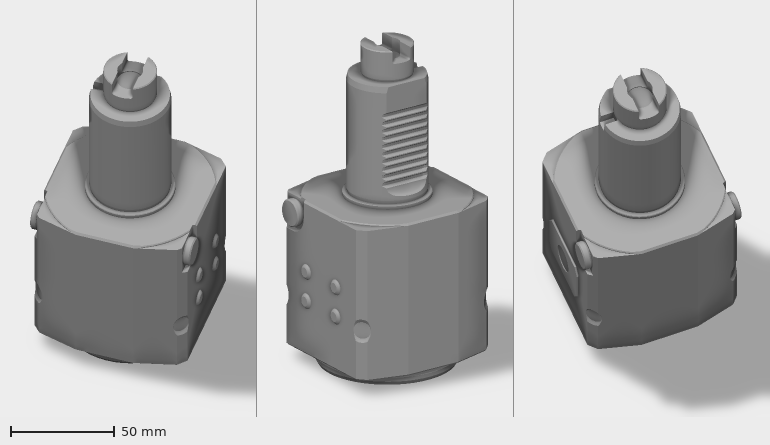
import cadquery as cq
import math

body_half = 78.0 / 2
front_flat_half = 14.7
corner_x, corner_y = 35.1, 33.5
side_flat_half = 29.2
body_bottom, body_top = 7.0, 86.3
edge_break = 1.0
top_disc_radius = 41.9
top_disc_chamfer = 0.5

collar_radius, collar_bottom = 34.0, 6.3
groove_radius, groove_bottom = 31.0, 4.0
cover_radius, cover_chamfer_top, cover_face_radius = 35.0, 2.0, 33.8

ring_radius, ring_top, ring_chamfer = 22.0, 88.3, 0.3
shank_radius, shank_top = 20.0, 149.0
undercut_radius, undercut_top = 19.6, 90.1
lead_radius, lead_bottom = 19.3, 146.0

flat_y = 16.2
tooth_root_y = 14.7
tooth_pitch = 4.0
root_count = 10
first_root_z = 134.0
root_width, gap_width = 1.3, 3.5
runout_radius = 5.0
runout_z = 96.7

notch_width, notch_bottom = 5.3, 144.2

tenon_radius, tenon_bottom, tenon_top, tenon_chamfer = 13.0, 150.2, 165.0, 0.5
tenon_neck_radius = 12.5
slot_width, slot_floor, slot_fillet = 10.5, 158.4, 1.0
slot_bore_diameter, slot_bore_depth = 12.5, 0.5

screw_y, screw_z = -24.1, 77.2
screw_face_x = 81.7 / 2
screw_diameter, screw_chamfer = 14.0, 0.7
screw_neck_diameter, screw_head_x = 13.4, 37.8
pocket_floor_x = 37.0
pocket_floor_radius, pocket_rim_radius = 8.4, 9.4

plug_z, plug_diameter, plug_depth = 33.0, 8.5, 1.2
plug_rim_diameter = 12.0

plate_z, plate_width, plate_height, plate_thickness = 42.5, 36.0, 25.7, 1.0
plate_corner_y, plate_corner_z = 3.0, 4.5
plate_chamfer = 0.3
plate_recess_diameter, plate_recess_depth = 14.0, 0.5
button_radius, button_face_radius, button_height = 4.0, 2.5, 1.3
button_mid_radius = 3.5
button_y, button_dz = 12.4, 7.6

cut_margin = 8.2


def mirrored_outline(quarter):
    """Closed outline from the points of its first quadrant, listed clockwise."""
    right = quarter + [(a, -b) for a, b in reversed(quarter)]
    return right + [(-a, b) for a, b in reversed(right)]


def housing_prism(top):
    """Plain prism of the housing outline, from the housing bottom up to a height."""
    quarter = [(front_flat_half, body_half), (corner_x, corner_y), (body_half, side_flat_half)]
    return (cq.Workplane("XY").workplane(offset=body_bottom)
            .polyline(mirrored_outline(quarter)).close().extrude(top - body_bottom))


def housing():
    """Twelve-sided block with a broken bottom edge and a turned top face."""
    shoulder_z = body_top - edge_break
    base = housing_prism(shoulder_z).faces("<Z").chamfer(edge_break)
    block = housing_prism(body_top).faces(">Z").chamfer(edge_break)
    disc = (cq.Workplane("XY").workplane(offset=shoulder_z).circle(top_disc_radius)
            .extrude(edge_break).faces(">Z").chamfer(top_disc_chamfer))
    return base.union(block.intersect(disc))


def turned_parts():
    """Bottom cover, shank ring, shank and tenon, revolved about Z."""
    profile = [
        (0, 0), (cover_face_radius, 0), (cover_radius, cover_chamfer_top),
        (cover_radius, groove_bottom), (groove_radius, groove_bottom),
        (groove_radius, collar_bottom), (collar_radius, collar_bottom),
        (collar_radius, body_bottom + edge_break), (ring_radius, body_bottom + edge_break),
        (ring_radius, ring_top - ring_chamfer), (ring_radius - ring_chamfer, ring_top),
        (undercut_radius, ring_top), (undercut_radius, undercut_top),
        (shank_radius, undercut_top), (shank_radius, lead_bottom), (lead_radius, shank_top),
        (tenon_neck_radius, shank_top), (tenon_neck_radius, tenon_bottom),
        (tenon_radius, tenon_bottom), (tenon_radius, tenon_top - tenon_chamfer),
        (tenon_radius - tenon_chamfer, tenon_top), (0, tenon_top),
    ]
    return cq.Workplane("XZ").polyline(profile).close().revolve(360, (0, 0), (0, 1))


def tooth_cutter():
    """Flat with a rounded run-out at its lower end and a row of tooth gaps."""
    outer_y = flat_y + runout_radius
    flat = (cq.Workplane("YZ").moveTo(flat_y, shank_top).lineTo(flat_y, runout_z)
            .radiusArc((outer_y, runout_z - runout_radius), -runout_radius)
            .lineTo(outer_y, shank_top).close().extrude(shank_radius, both=True))
    for i in range(root_count):
        z = first_root_z - i * tooth_pitch
        gap = [(tooth_root_y, z - root_width / 2), (tooth_root_y, z + root_width / 2),
               (flat_y, z + gap_width / 2), (outer_y, z + gap_width / 2),
               (outer_y, z - gap_width / 2), (flat_y, z - gap_width / 2)]
        flat = flat.union(cq.Workplane("YZ").polyline(gap).close().extrude(shank_radius, both=True))
    return flat


def notch_cutter():
    """Locating notch in the shank end, reaching inwards to the tenon neck."""
    length = cut_margin + shank_radius - tenon_neck_radius
    return (cq.Workplane("XY")
            .box(length, notch_width, shank_top - notch_bottom, centered=(False, True, False))
            .translate((-tenon_neck_radius - length, 0, notch_bottom)))


def drive_slot_cutter():
    """Cross slot with filleted floor corners and a round relief at its centre."""
    depth = tenon_top - slot_floor
    slot = (cq.Workplane("XY").workplane(offset=slot_floor).rect(slot_width, 4 * tenon_radius)
            .extrude(depth).edges("|Y and <Z").fillet(slot_fillet))
    bore = (cq.Workplane("XY").workplane(offset=tenon_top).circle(slot_bore_diameter / 2)
            .extrude(-depth - slot_bore_depth))
    return slot.union(bore)


def pocket_cutter():
    """Tapered pocket in the +X side, open towards +Z and -Y."""
    depth = body_half - pocket_floor_x
    draft = math.degrees(math.atan((pocket_rim_radius - pocket_floor_radius) / depth))
    inner_y = screw_y + pocket_floor_radius
    outer_y = screw_y - pocket_floor_radius - cut_margin
    floor_z = screw_z - pocket_floor_radius
    open_z = body_top + cut_margin
    return (cq.Workplane("YZ").workplane(offset=pocket_floor_x)
            .moveTo(inner_y, open_z).lineTo(inner_y, screw_z)
            .radiusArc((screw_y, floor_z), pocket_floor_radius)
            .lineTo(outer_y, floor_z).lineTo(outer_y, open_z).close()
            .extrude(depth, taper=-draft))


def screw():
    """Screw head standing on the floor of the +X pocket."""
    return (cq.Workplane("YZ").workplane(offset=pocket_floor_x).center(screw_y, screw_z)
            .circle(screw_neck_diameter / 2).extrude(screw_head_x - pocket_floor_x)
            .faces(">X").workplane().circle(screw_diameter / 2).extrude(screw_face_x - screw_head_x)
            .faces(">X").chamfer(screw_chamfer))


def plug_cutter(sign_x, sign_y):
    """Countersink in a corner face, ending on the flat face of the plug."""
    across = cq.Vector(sign_x * (corner_y - side_flat_half), sign_y * (body_half - corner_x), 0)
    normal = across.normalized()
    middle_x, middle_y = (corner_x + body_half) / 2, (corner_y + side_flat_half) / 2
    middle = cq.Vector(sign_x * middle_x, sign_y * middle_y, plug_z)
    outer_radius = plug_rim_diameter - plug_diameter / 2
    plug_face = middle - normal * plug_depth
    cone = cq.Solid.makeCone(plug_diameter / 2, outer_radius, 2 * plug_depth, plug_face, normal)
    return cq.Workplane(obj=cone)


def cover_plate():
    """Plate with cut corners and a shallow round recess on the -X side."""
    y, z = plate_width / 2, plate_height / 2
    quarter = [(y - plate_corner_y, z), (y, z - plate_corner_z)]
    face_x = -body_half - plate_thickness
    plate = (cq.Workplane("YZ", origin=(face_x, 0, plate_z)).polyline(mirrored_outline(quarter)).close()
             .extrude(plate_thickness + edge_break)
             .faces("<X").chamfer(plate_chamfer))
    recess = (cq.Workplane("YZ", origin=(face_x, 0, plate_z)).circle(plate_recess_diameter / 2)
              .extrude(plate_recess_depth))
    return plate.cut(recess)


def button(y, z):
    """Domed button head on the +X side."""
    bulge = (button_mid_radius, button_height / 2)
    return (cq.Workplane("XY").moveTo(0, -edge_break).lineTo(button_radius, -edge_break)
            .lineTo(button_radius, 0).threePointArc(bulge, (button_face_radius, button_height))
            .lineTo(0, button_height).close().revolve(360, (0, 0), (0, 1))
            .rotate((0, 0, 0), (0, 0, 1), -90).translate((body_half, y, z)))


result = housing()
for sign_x in (1, -1):
    for sign_y in (1, -1):
        result = result.cut(plug_cutter(sign_x, sign_y))
result = result.cut(pocket_cutter()).cut(pocket_cutter().mirror("YZ"))
result = result.union(screw()).union(screw().mirror("YZ"))
result = result.union(turned_parts())
result = result.cut(tooth_cutter()).cut(notch_cutter()).cut(drive_slot_cutter())
result = result.union(cover_plate())
for y in (-button_y, button_y):
    for z in (plate_z - button_dz, plate_z + button_dz):
        result = result.union(button(y, z))